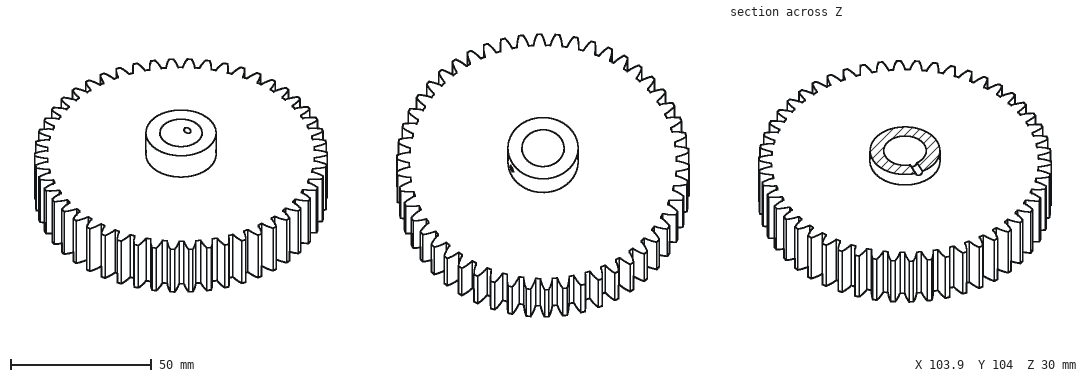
import cadquery as cq
import math

outer_diameter = 104.0
tooth_count = 50
pressure_angle = math.radians(20)
dedendum_in_modules = 1.25
face_width = 20.0

hub_diameter = 25.0
hub_height = 10.0
bore_diameter = 15.0
screw_hole_diameter = 2.5

module = outer_diameter / (tooth_count + 2)
tip_radius = outer_diameter / 2
pitch_radius = tooth_count * module / 2
base_radius = pitch_radius * math.cos(pressure_angle)
root_radius = pitch_radius - dedendum_in_modules * module
tooth_pitch_angle = 2 * math.pi / tooth_count


def involute(angle):
    """Involute function: polar angle swept by the involute at a flank angle."""
    return math.tan(angle) - angle


def half_tooth_angle(radius):
    """Angle from the tooth centreline to its involute flank at a radius."""
    half_angle_at_pitch = tooth_pitch_angle / 4
    flank_angle = math.acos(base_radius / radius)
    return half_angle_at_pitch + involute(pressure_angle) - involute(flank_angle)


def polar(radius, angle):
    return (radius * math.cos(angle), radius * math.sin(angle))


def make_toothed_disc():
    """Extrude an outline of tip arcs, root arcs and flanks that are arcs through three involute points."""
    root_half = half_tooth_angle(root_radius)
    pitch_half = half_tooth_angle(pitch_radius)
    tip_half = half_tooth_angle(tip_radius)
    first_tooth = math.pi / 2

    outline = cq.Workplane("XY").moveTo(*polar(root_radius, first_tooth - root_half))
    for index in range(tooth_count):
        centre = first_tooth + index * tooth_pitch_angle
        next_centre = centre + tooth_pitch_angle
        outline = (
            outline
            .threePointArc(polar(pitch_radius, centre - pitch_half), polar(tip_radius, centre - tip_half))
            .threePointArc(polar(tip_radius, centre), polar(tip_radius, centre + tip_half))
            .threePointArc(polar(pitch_radius, centre + pitch_half), polar(root_radius, centre + root_half))
            .threePointArc(
                polar(root_radius, centre + tooth_pitch_angle / 2),
                polar(root_radius, next_centre - root_half),
            )
        )
    return outline.close().extrude(face_width)


def make_hub():
    return cq.Workplane("XY").workplane(offset=face_width).circle(hub_diameter / 2).extrude(hub_height)


def make_bore():
    return cq.Workplane("XY").circle(bore_diameter / 2).extrude(face_width + hub_height)


def make_screw_hole():
    """Radial hole at mid-height of the hub, from the bore out through the +Y wall."""
    hole_height = face_width + hub_height / 2
    return (
        cq.Workplane("XZ", origin=(0, 0, hole_height))
        .circle(screw_hole_diameter / 2)
        .extrude(-hub_diameter / 2)
    )


result = make_toothed_disc().union(make_hub()).cut(make_bore()).cut(make_screw_hole())